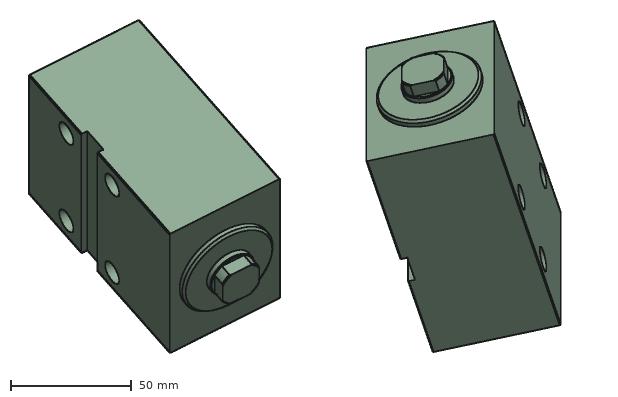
import cadquery as cq


total_length = 117.0
housing_length = 105.0
housing_width = 55.0
housing_height = 75.0
edge_chamfer = 0.5

slot_center_x = 45.0
slot_width = 12.0
slot_depth = 3.0
hole_diameter = 10.5
hole_spacing_x = 34.0
hole_spacing_z = 55.0

gland_diameter = 45.0
gland_thickness = 3.0
gland_chamfer = 1.0

rod_diameter = 22.0
shoulder_projection = 6.0
rod_chamfer = 0.5
tip_diameter = rod_diameter - 2 * rod_chamfer
across_flats = 18.0
tip_chamfer = 0.5

rod_length = total_length - housing_length
tip_length = rod_length - shoulder_projection


def make_housing():
    block = (
        cq.Workplane("XY")
        .box(housing_length, housing_width, housing_height, centered=(False, True, True))
        .edges("|X")
        .chamfer(edge_chamfer)
    )

    mounting_face_y = -housing_width / 2
    slot = (
        cq.Workplane("XY")
        .box(slot_width, 2 * slot_depth, housing_height)
        .translate((slot_center_x, mounting_face_y, 0))
    )

    holes = (
        cq.Workplane("XZ", origin=(slot_center_x, 0, 0))
        .rarray(hole_spacing_x, hole_spacing_z, 2, 2)
        .circle(hole_diameter / 2)
        .extrude(housing_width / 2, both=True)
    )
    return block.cut(slot).cut(holes)


def make_gland():
    """Ring with a chamfered outer rim and a bore that fits the rod."""
    disc = (
        cq.Workplane("YZ", origin=(housing_length, 0, 0))
        .circle(gland_diameter / 2)
        .extrude(gland_thickness)
        .faces(">X")
        .chamfer(gland_chamfer)
    )
    return disc.faces(">X").workplane().hole(rod_diameter)


def make_rod():
    """Round rod up to the shoulder, then a narrower tip cut to a square with round corners."""
    shank = (
        cq.Workplane("YZ", origin=(housing_length, 0, 0))
        .circle(rod_diameter / 2)
        .extrude(shoulder_projection)
        .faces(">X")
        .chamfer(rod_chamfer)
    )
    shoulder_x = housing_length + shoulder_projection
    tip = (
        cq.Workplane("YZ", origin=(shoulder_x, 0, 0))
        .circle(tip_diameter / 2)
        .extrude(tip_length)
        .faces(">X")
        .chamfer(tip_chamfer)
    )
    square = (
        cq.Workplane("YZ", origin=(shoulder_x, 0, 0))
        .rect(across_flats, across_flats)
        .extrude(tip_length)
    )
    return shank.union(tip.intersect(square))


housing = make_housing()
gland = make_gland()
rod = make_rod()

result = cq.Compound.makeCompound([housing.val(), gland.val(), rod.val()])